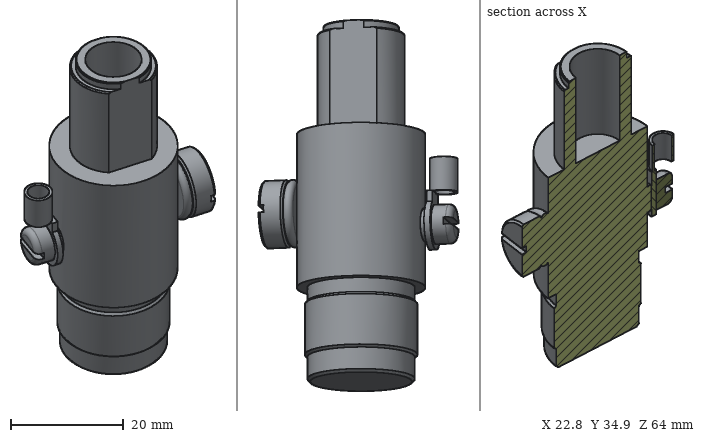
import cadquery as cq

TOTAL_HEIGHT = 64.0
BARREL_RADIUS = 11.4
BARREL_BOTTOM = 16.95
BARREL_TOP = 44.55
NECK_RADIUS = 9.55
COLLAR_RADIUS = 10.0
COLLAR_BOTTOM = 4.4
COLLAR_TOP = 14.4
COLLAR_CHAMFER = COLLAR_RADIUS - NECK_RADIUS
FOOT_CHAMFER = 0.5
STEM_RADIUS = 7.75
STEM_TOP = 62.6
STEM_CHAMFER = 0.25
TIP_RADIUS = 6.7
TIP_CHAMFER = 0.2
FLAT_DISTANCE = 6.45
BORE_RADIUS = 5.0
BORE_DEPTH = TOTAL_HEIGHT - BARREL_TOP

CAP_HEIGHT = 30.8
CAP_RADIUS = 6.0
CAP_OUTER_Y = 17.4
CAP_INNER_Y = 13.0
CAP_CHAMFER = 0.4
CAP_SLOT_WIDTH = 1.3
CAP_SLOT_DEPTH = 1.0

BEAD_INNER_Y = 11.25
LUG_BEAD_RADIUS = 3.1

SCREW_HEIGHT = 27.8
LUG_INNER_Y = 12.35
LUG_THICKNESS = 1.1
LUG_OUTER_Y = LUG_INNER_Y + LUG_THICKNESS
EYE_RADIUS = 4.5
TAB_WIDTH = 4.85
TUBE_RADIUS = 2.5
TUBE_OUTER_Y = 17.5
TUBE_BORE_RADIUS = 1.9
TUBE_BOTTOM = 33.55
TUBE_LENGTH = 6.0
HEAD_RADIUS = 3.5
HEAD_LENGTH = 3.7
HEAD_FILLET = 1.15
HEAD_SLOT_WIDTH = 1.2
HEAD_SLOT_DEPTH = 1.55


def cylinder_z(radius, bottom, top):
    """Cylinder on the Z axis."""
    return cq.Workplane("XY").workplane(offset=bottom).circle(radius).extrude(top - bottom)


def cylinder_y(radius, start, end, height):
    """Cylinder parallel to Y, centred on X = 0 and Z = height."""
    length = abs(end - start)
    direction = 1 if end > start else -1
    axis_plane = cq.Plane((0, start, height), xDir=(1, 0, 0), normal=(0, direction, 0))
    return cq.Workplane(axis_plane).circle(radius).extrude(length)


def bead_y(radius, start, end, height):
    """Disc parallel to Y with a fully rounded rim, centred on X = 0 and Z = height."""
    round_radius = (end - start) / 2
    core_radius = radius - round_radius
    return (
        cq.Workplane("XY", origin=(0, 0, height))
        .moveTo(0, start)
        .lineTo(core_radius, start)
        .threePointArc((radius, start + round_radius), (core_radius, end))
        .lineTo(0, end)
        .close()
        .revolve(360, (0, 0), (0, 1))
    )


def slot_y(length, outer_y, floor_y, width, height):
    """Straight cutter along X for a screwdriver slot."""
    middle_y = (outer_y + floor_y) / 2
    return cq.Workplane("XY").box(length, abs(outer_y - floor_y), width).translate((0, middle_y, height))


def make_turned_body():
    foot = cylinder_z(NECK_RADIUS, 0, BARREL_BOTTOM).faces("<Z").chamfer(FOOT_CHAMFER)
    collar = cylinder_z(COLLAR_RADIUS, COLLAR_BOTTOM, COLLAR_TOP).faces("<Z or >Z").chamfer(COLLAR_CHAMFER)
    barrel = cylinder_z(BARREL_RADIUS, BARREL_BOTTOM, BARREL_TOP)
    return foot.union(collar).union(barrel)


def make_stem():
    shaft = cylinder_z(STEM_RADIUS, BARREL_TOP, STEM_TOP).faces(">Z").chamfer(STEM_CHAMFER)
    tip = cylinder_z(TIP_RADIUS, STEM_TOP, TOTAL_HEIGHT).faces(">Z").chamfer(TIP_CHAMFER)
    between_flats = cq.Workplane("XY").box(2 * FLAT_DISTANCE, 2 * STEM_RADIUS, 2 * TOTAL_HEIGHT)
    bore = cylinder_z(BORE_RADIUS, TOTAL_HEIGHT - BORE_DEPTH, TOTAL_HEIGHT)
    return shaft.union(tip).intersect(between_flats).cut(bore)


def make_cap():
    disc = cylinder_y(CAP_RADIUS, CAP_INNER_Y, CAP_OUTER_Y, CAP_HEIGHT).edges().chamfer(CAP_CHAMFER)
    bead = bead_y(CAP_RADIUS, BEAD_INNER_Y, CAP_INNER_Y, CAP_HEIGHT)
    slot = slot_y(2 * CAP_RADIUS, CAP_OUTER_Y, CAP_OUTER_Y - CAP_SLOT_DEPTH, CAP_SLOT_WIDTH, CAP_HEIGHT)
    return disc.union(bead).cut(slot)


def make_housing():
    lug_bead = bead_y(LUG_BEAD_RADIUS, -LUG_INNER_Y, -BEAD_INNER_Y, SCREW_HEIGHT)
    return make_turned_body().union(make_stem()).union(make_cap()).union(lug_bead)


def make_lug():
    eye = cylinder_y(EYE_RADIUS, -LUG_INNER_Y, -LUG_OUTER_Y, SCREW_HEIGHT)
    tab_length = TUBE_BOTTOM - SCREW_HEIGHT
    tab = (
        cq.Workplane("XY")
        .box(TAB_WIDTH, LUG_THICKNESS, tab_length, centered=(True, False, False))
        .translate((0, -LUG_OUTER_Y, SCREW_HEIGHT))
    )
    tube = (
        cq.Workplane("XY", origin=(0, TUBE_RADIUS - TUBE_OUTER_Y, TUBE_BOTTOM))
        .circle(TUBE_RADIUS)
        .circle(TUBE_BORE_RADIUS)
        .extrude(TUBE_LENGTH)
    )
    return eye.union(tab).union(tube)


def make_screw():
    outer_y = -LUG_OUTER_Y - HEAD_LENGTH
    head = cylinder_y(HEAD_RADIUS, -LUG_OUTER_Y, outer_y, SCREW_HEIGHT)
    head = head.faces("<Y").edges().fillet(HEAD_FILLET)
    slot = slot_y(2 * HEAD_RADIUS, outer_y, outer_y + HEAD_SLOT_DEPTH, HEAD_SLOT_WIDTH, SCREW_HEIGHT)
    return head.cut(slot)


housing = make_housing()
lug = make_lug()
screw = make_screw()

result = cq.Compound.makeCompound([housing.solids().val(), lug.solids().val(), screw.solids().val()])